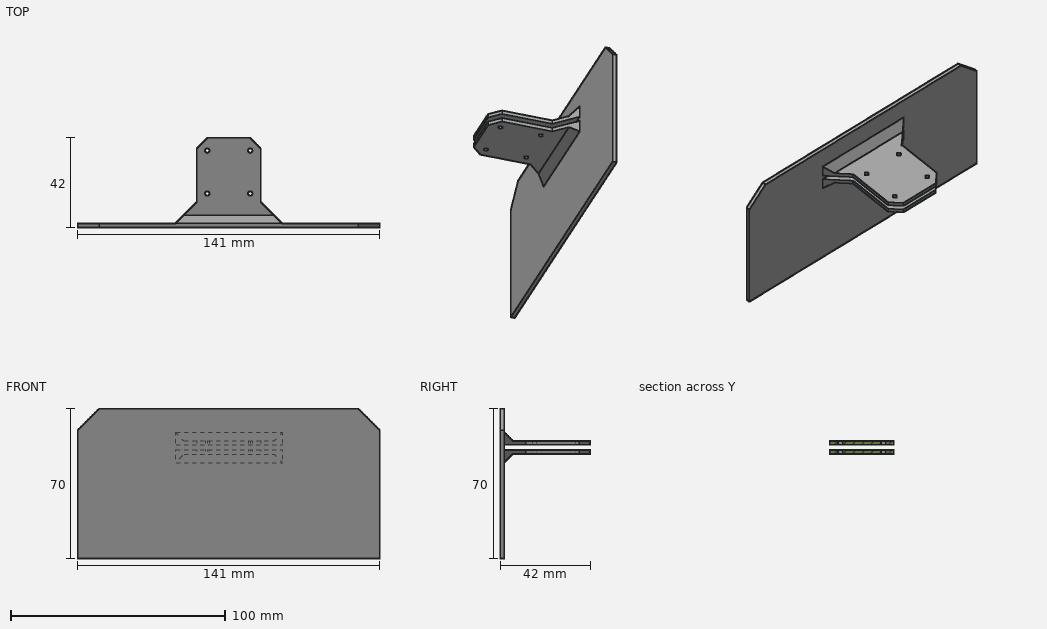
import cadquery as cq

plate_width = 141.0
plate_height = 70.0
plate_thickness = 2.0
plate_corner = 10.0

total_depth = 42.0
arm_width = 30.0
arm_thickness = 2.0
arm_gap = 2.3
arm_corner = 5.1
flare = 10.0
gusset = 4.0
gap_center_z = 51.9

hole_diameter = 2.0
hole_spacing = 20.0
hole_tip_distance = 6.0

arm_half_width = arm_width / 2
root_half_width = arm_half_width + flare
root_y = plate_thickness
arm_root_y = root_y - plate_thickness / 2


def make_plate():
    return (
        cq.Workplane("XY")
        .box(plate_width, plate_thickness, plate_height, centered=(True, False, False))
        .edges("|Y and >Z")
        .chamfer(plate_corner)
    )


def make_arm_outline():
    """Plan shape of the arms, extruded through the full plate height."""
    right_side = [
        (root_half_width, arm_root_y),
        (root_half_width, root_y),
        (arm_half_width, root_y + flare),
        (arm_half_width, total_depth - arm_corner),
        (arm_half_width - arm_corner, total_depth),
    ]
    left_side = [(-x, y) for x, y in reversed(right_side)]
    return cq.Workplane("XY").polyline(right_side + left_side).close().extrude(plate_height)


def make_arm_profile(direction):
    """Side shape of one arm; direction is +1 above the gap and -1 below it."""
    inner = arm_gap / 2
    outer = inner + arm_thickness
    offsets = [
        (arm_root_y, inner),
        (total_depth, inner),
        (total_depth, outer),
        (root_y + gusset, outer),
        (root_y, outer + gusset),
        (arm_root_y, outer + gusset),
    ]
    points = [(y, gap_center_z + direction * z) for y, z in offsets]
    return cq.Workplane("YZ").polyline(points).close().extrude(root_half_width, both=True)


def make_holes():
    return (
        cq.Workplane("XY")
        .center(0, total_depth - hole_tip_distance - hole_spacing / 2)
        .rect(hole_spacing, hole_spacing, forConstruction=True)
        .vertices()
        .circle(hole_diameter / 2)
        .extrude(plate_height)
    )


result = make_plate()
for direction in (1, -1):
    arm = make_arm_outline().intersect(make_arm_profile(direction))
    result = result.union(arm.cut(make_holes()))